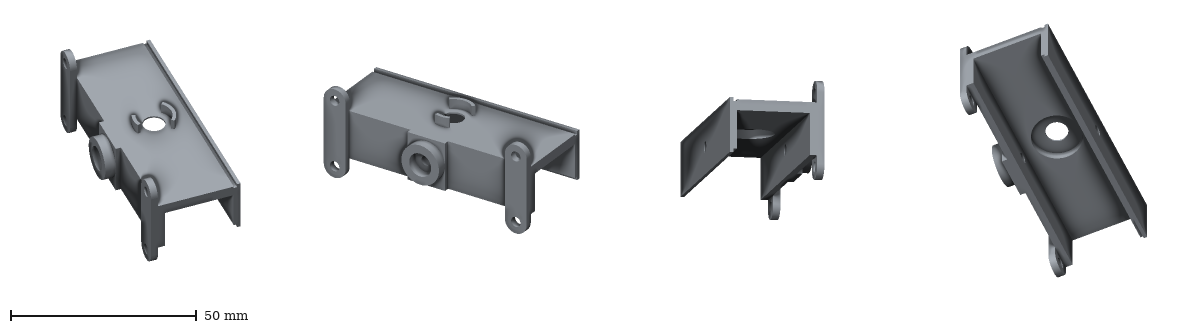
import cadquery as cq
import math

LENGTH = 65.0
BACK_Y = 12.0
CHANNEL_DEPTH = 24.0
CHANNEL_FRONT_Y = BACK_Y - CHANNEL_DEPTH
WALL = 2.0
LIP_TOP_Z = 7.5
BOTTOM_Z = -LIP_TOP_Z
ROOF_TOP_Z = 7.0
ROOF_THICKNESS = 3.0
STEP = 1.0

LUG_WIDTH = 7.0
LUG_HEIGHT = 27.0
LUG_THICKNESS = 2.0
LUG_HOLE_DIAMETER = 3.0
LUG_HOLE_SPACING = LUG_HEIGHT - LUG_WIDTH

BOSS_DIAMETER = 12.0
PAD_THICKNESS = 1.5
BOSS_LENGTH = 3.0
BORE_DIAMETER = 7.0
BORE_DEPTH = BOSS_LENGTH
AXLE_HOLE_DIAMETER = 3.0

ROOF_HOLE_DIAMETER = 6.2
ROOF_SKIN = 0.5
ROOF_RECESS_DIAMETER = 14.0
GUARD_OUTER_RADIUS = 6.0
GUARD_INNER_RADIUS = 5.0
GUARD_HEIGHT = 3.0
BACK_GUARD_SPAN = 90.0
FRONT_GUARD_SPAN = 45.0
TOWARD_BACK = 90.0
TOWARD_FRONT = -90.0

PAD_FRONT_Y = CHANNEL_FRONT_Y - PAD_THICKNESS
BOSS_FRONT_Y = PAD_FRONT_Y - BOSS_LENGTH


def front_plane(y):
    """Sketch plane facing -Y at the given y; local x is X and local y is Z."""
    return cq.Workplane("XZ", origin=(0, y, 0))


def make_channel():
    """Channel section with a raised back lip, a groove beside it and a stepped back foot."""
    roof_underside_z = ROOF_TOP_Z - ROOF_THICKNESS
    groove_floor_z = LIP_TOP_Z - STEP
    lip_y = BACK_Y - STEP
    back_wall_y = BACK_Y - WALL
    front_wall_y = CHANNEL_FRONT_Y + WALL
    section = [
        (BACK_Y, BOTTOM_Z),
        (BACK_Y, LIP_TOP_Z),
        (lip_y, LIP_TOP_Z),
        (lip_y, groove_floor_z),
        (back_wall_y, groove_floor_z),
        (back_wall_y, ROOF_TOP_Z),
        (CHANNEL_FRONT_Y, ROOF_TOP_Z),
        (CHANNEL_FRONT_Y, BOTTOM_Z),
        (front_wall_y, BOTTOM_Z),
        (front_wall_y, roof_underside_z),
        (back_wall_y, roof_underside_z),
        (back_wall_y, BOTTOM_Z + STEP),
        (lip_y, BOTTOM_Z + STEP),
        (lip_y, BOTTOM_Z),
    ]
    return cq.Workplane("YZ").polyline(section).close().extrude(LENGTH / 2, both=True)


def make_lug(x):
    """Upright round-ended lug with a hole at the centre of each end."""
    lug_plane = front_plane(CHANNEL_FRONT_Y).center(x, 0)
    plate = lug_plane.slot2D(LUG_HEIGHT, LUG_WIDTH, 90).extrude(LUG_THICKNESS)
    holes = (
        lug_plane.rarray(1, LUG_HOLE_SPACING, 1, 2)
        .circle(LUG_HOLE_DIAMETER / 2)
        .extrude(LUG_THICKNESS)
    )
    return plate.cut(holes)


def make_boss():
    """Full-height pad on the front wall carrying the round boss."""
    pad_height = ROOF_TOP_Z - BOTTOM_Z
    pad_centre_z = (ROOF_TOP_Z + BOTTOM_Z) / 2
    pad = (
        front_plane(CHANNEL_FRONT_Y)
        .center(0, pad_centre_z)
        .rect(BOSS_DIAMETER, pad_height)
        .extrude(PAD_THICKNESS)
    )
    boss = front_plane(PAD_FRONT_Y).circle(BOSS_DIAMETER / 2).extrude(BOSS_LENGTH)
    return pad.union(boss)


def make_axle_bore():
    """Stepped bore: wide in the boss, narrow through both walls."""
    wide = front_plane(BOSS_FRONT_Y).circle(BORE_DIAMETER / 2).extrude(-BORE_DEPTH)
    narrow = front_plane(BOSS_FRONT_Y).circle(AXLE_HOLE_DIAMETER / 2).extrude(BOSS_FRONT_Y - BACK_Y)
    return wide.union(narrow)


def make_roof_hole():
    """Round hole through the roof, opening into a wider recess in its underside."""
    roof_top = cq.Workplane("XY", origin=(0, 0, ROOF_TOP_Z))
    hole = roof_top.circle(ROOF_HOLE_DIAMETER / 2).extrude(-ROOF_THICKNESS)
    recess = (
        roof_top.workplane(offset=-ROOF_SKIN)
        .circle(ROOF_RECESS_DIAMETER / 2)
        .extrude(ROOF_SKIN - ROOF_THICKNESS)
    )
    return hole.union(recess)


def make_guard(mid_angle, span):
    """Upright ring segment on the roof, centred on mid_angle (degrees from +X)."""

    def ring_point(radius, angle):
        return (radius * math.cos(math.radians(angle)), radius * math.sin(math.radians(angle)))

    start = mid_angle - span / 2
    end = mid_angle + span / 2
    return (
        cq.Workplane("XY", origin=(0, 0, ROOF_TOP_Z))
        .moveTo(*ring_point(GUARD_OUTER_RADIUS, start))
        .threePointArc(ring_point(GUARD_OUTER_RADIUS, mid_angle), ring_point(GUARD_OUTER_RADIUS, end))
        .lineTo(*ring_point(GUARD_INNER_RADIUS, end))
        .threePointArc(ring_point(GUARD_INNER_RADIUS, mid_angle), ring_point(GUARD_INNER_RADIUS, start))
        .close()
        .extrude(GUARD_HEIGHT)
    )


lug_x = (LENGTH - LUG_WIDTH) / 2

body = make_channel().union(make_boss())
for side in (-1, 1):
    body = body.union(make_lug(side * lug_x))
body = body.union(make_guard(TOWARD_BACK, BACK_GUARD_SPAN))
body = body.union(make_guard(TOWARD_FRONT, FRONT_GUARD_SPAN))

result = body.cut(make_axle_bore()).cut(make_roof_hole())